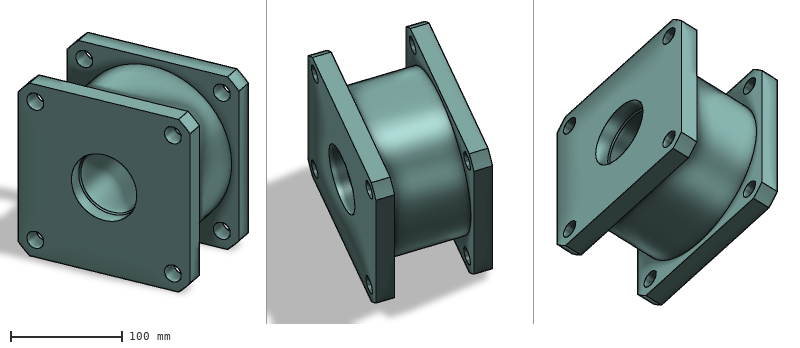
import cadquery as cq

flange_side = 175.0
length = 112.0
flange_thickness = 18.0
corner_circle_diameter = 231.5

barrel_diameter = 160.0

bolt_spacing = 140.0
bolt_hole_diameter = 17.0

bore_diameter = 63.7
mouth_diameter = 66.5
mouth_depth = 14.0
mouth_taper = (mouth_diameter - bore_diameter) / 2


def cylinder(diameter, start, depth):
    """Cylinder along +Y, starting at the given Y position."""
    return cq.Workplane("XZ", origin=(0, start, 0)).circle(diameter / 2).extrude(-depth)


def flange(start):
    """Square plate with arc-trimmed corners and four bolt holes."""
    face = cq.Workplane("XZ", origin=(0, start, 0))
    plate = face.rect(flange_side, flange_side).extrude(-flange_thickness)
    plate = plate.intersect(cylinder(corner_circle_diameter, start, flange_thickness))
    bolt_holes = (
        face.rect(bolt_spacing, bolt_spacing, forConstruction=True)
        .vertices()
        .circle(bolt_hole_diameter / 2)
        .extrude(-flange_thickness)
    )
    return plate.cut(bolt_holes)


def bore():
    """Through bore with a wider mouth and a conical shoulder at each end."""
    half_length = length / 2
    mouth_floor = half_length - mouth_depth
    shoulder_end = mouth_floor - mouth_taper
    half_profile = [
        (mouth_diameter / 2, half_length),
        (mouth_diameter / 2, mouth_floor),
        (bore_diameter / 2, shoulder_end),
    ]
    mirrored_profile = [(radius, -y) for radius, y in reversed(half_profile)]
    profile = [(0, half_length)] + half_profile + mirrored_profile + [(0, -half_length)]
    return cq.Workplane("XY").polyline(profile).close().revolve(360, (0, 0, 0), (0, 1, 0))


front_face = -length / 2
back_face = length / 2

result = cylinder(barrel_diameter, front_face, length)
for flange_start in (front_face, back_face - flange_thickness):
    result = result.union(flange(flange_start))

result = result.cut(bore())